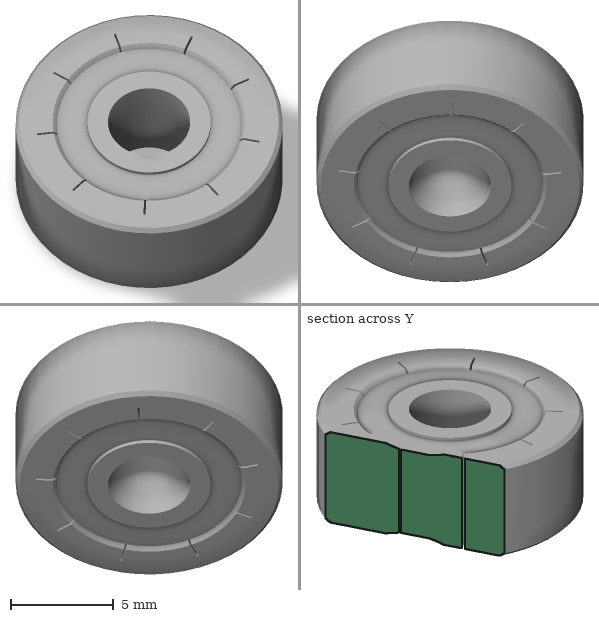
import cadquery as cq

outer_diameter = 13.0
height = 5.0
bore_diameter = 4.0
rim_chamfer = 0.2

hub_diameter = 6.0
recess_floor_diameter = 9.0
recess_depth = 0.2
recess_mouth_diameter = recess_floor_diameter + 2 * recess_depth

slot_count = 9
slot_width = 0.1
slot_inner_radius = recess_floor_diameter / 2
slot_outer_radius = 5.5


def make_ring():
    """Bored cylinder with chamfered outer rims."""
    body = cq.Workplane("XY").circle(outer_diameter / 2).extrude(height)
    body = body.edges().chamfer(rim_chamfer)
    bore = cq.Workplane("XY").circle(bore_diameter / 2).extrude(height)
    return body.cut(bore)


def make_top_recess():
    """Recess with a vertical hub wall and a sloping outer wall."""
    floor_height = height - recess_depth
    return (
        cq.Workplane("XZ")
        .moveTo(hub_diameter / 2, floor_height)
        .lineTo(recess_floor_diameter / 2, floor_height)
        .lineTo(recess_mouth_diameter / 2, height)
        .lineTo(hub_diameter / 2, height)
        .close()
        .revolve(360, (0, 0), (0, 1))
    )


def make_slots():
    """Evenly spaced radial slots, the first one along +X."""
    slot_length = slot_outer_radius - slot_inner_radius
    slot_middle_radius = (slot_outer_radius + slot_inner_radius) / 2
    return (
        cq.Workplane("XY")
        .polarArray(slot_middle_radius, 0, 360, slot_count)
        .rect(slot_length, slot_width)
        .extrude(height)
    )


top_recess = make_top_recess()
bottom_recess = top_recess.mirror("XY", (0, 0, height / 2))

result = make_ring().cut(top_recess).cut(bottom_recess).cut(make_slots())